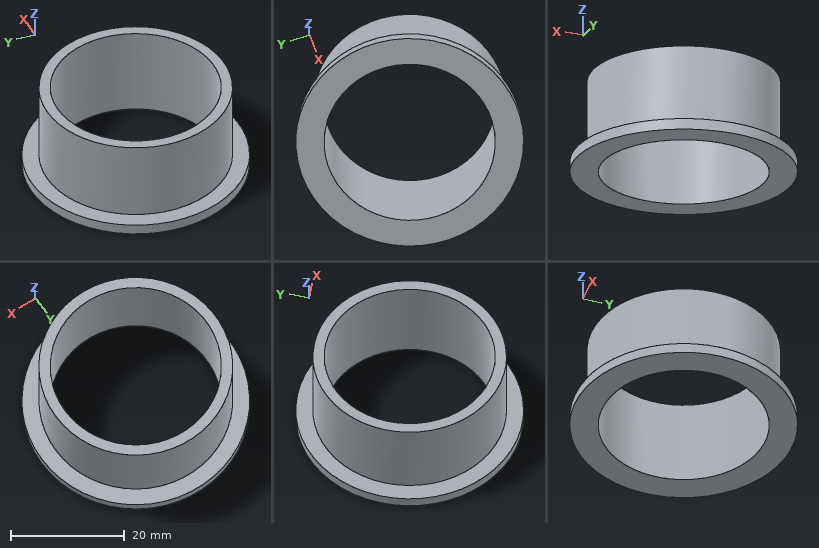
import cadquery as cq

flange_diameter = 40.0
flange_thickness = 2.0
sleeve_diameter = 34.0
bore_diameter = 30.0
total_height = 17.0

flange = cq.Workplane("XY").circle(flange_diameter / 2).extrude(flange_thickness)

sleeve = cq.Workplane("XY").circle(sleeve_diameter / 2).extrude(total_height)

bore = cq.Workplane("XY").circle(bore_diameter / 2).extrude(total_height)

result = flange.union(sleeve).cut(bore)